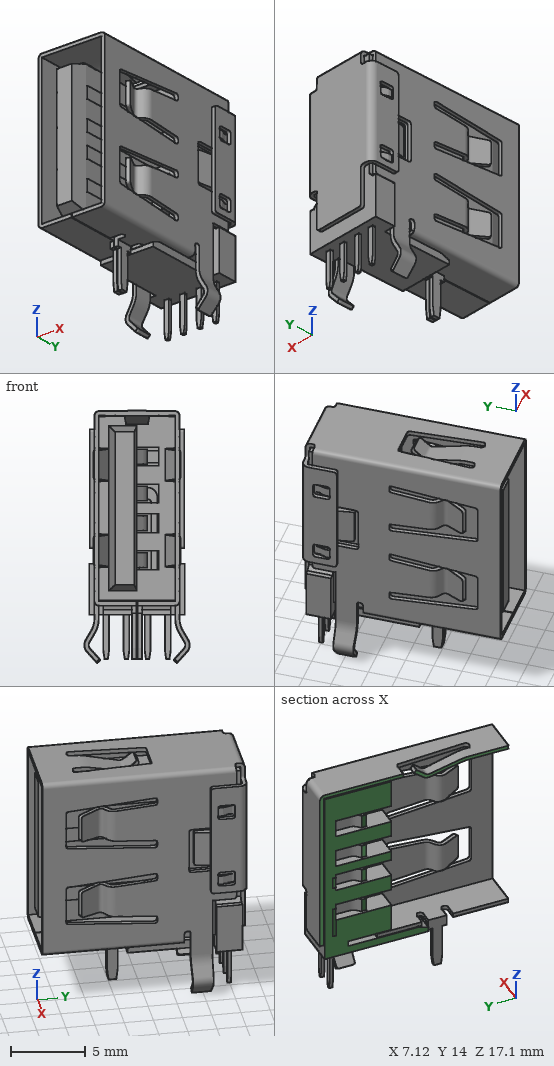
import cadquery as cq
import math


SHEET = 0.3
SHELL_W = 5.76
SHELL_H = 13.14
SHELL_R = 0.34
DEPTH = 14.0
WALL_REAR = 13.29
BOTTOM_REAR = 9.71
SEAM = 0.07
CORNER_R = 0.2
HALF_W = SHELL_W / 2
INNER_W = HALF_W - SHEET
INNER_TOP = SHELL_H - SHEET
MID_Z = SHELL_H / 2

NECK_W = 4.33
BACK_BEND_R = 0.41
BACK_BOTTOM = 0.58
FLAP_FRONT = 11.48
FLAP_BOTTOM = 3.87
FLAP_TOP = 11.91
FLAP_BEND_R = 0.55
FLAP_OUT = HALF_W + SHEET

LOCK_Y = (11.96, 13.15)
LOCK_H = 1.04
LOCK_Z = (4.92, 10.02)
BARB_REAR = 12.98
BARB_CREST = 12.32
BARB_FRONT = 12.0
BARB_RISE = 0.2
BARB_H = 0.63
BARB_Z = (4.79, 10.02)

WING_NOTCH_Y = 11.65
WING_NOTCH_TOP = 3.17
SNAP_Y = (10.04, 12.27)
SNAP_Z = (5.47, 8.75)

LEG_FRONT = 10.15
LEG_REAR = WING_NOTCH_Y
LEG_NARROWING = 0.09
LEG_ROOT = 1.02
LEG_BEND_Z = -0.89
LEG_RELIEF_TOP = 0.97
LEG_TIP_Z = -4.09
LEG_SPLAY = 30
LEG_SPLAY_R = 1.69
LEG_SLOPE = 0.77
LEG_RETURN = 42
LEG_RETURN_R = 0.51
LEG_TIP = 1.04
LEG_TIP_R = 0.27

PEG_FLANGE_Y = (4.57, 5.93)
PEG_FLANGE_H = 0.5
PEG_W = 0.72
PEG_TIP_W = 0.53
PEG_TAPER_Z = -2.86
PEG_BOTTOM = -3.6
PEG_RELIEF_W = 0.48
PEG_RELIEF_X = 1.09
PEG_RELIEF_R = 0.22

SPRING_LAP = 0.09
SIDE_ROOT_Y = 7.87
SIDE_Z = (3.71, 9.5)
SIDE_SLOT = (6.27, 1.9, 1.4)
SIDE_TONGUE = (5.4, 1.36, 0.95)
SIDE_BEND_START = 2.83
SIDE_RUNS = [(SPRING_LAP, -54.5, 0.58), (0.3, 83.5, 0.43), (1.45, 0, 0)]
TOP_ROOT_Y = 2.39
TOP_SLOT = (5.42, 1.48, 1.15)
TOP_TONGUE = (4.7, 0.89, 0.7)
TOP_BEND_START = 0.53
TOP_RUNS = [(SPRING_LAP, -12.5, 3.07), (2.3, 50.5, 0.48), (0.9, 0, 0)]

NEAR = 0.02

BASE_FRONT = 8.69
BASE_REAR = 13.63
BASE_GAP = 0.05
WING_FRONT = 11.88
WING_HALF_W = 3.22
WING_TOP = 2.85
FOOT_BOTTOM = -0.61
FOOT_FRONT = 5.93
FOOT_SLOPE_START = 6.65
FOOT_SLOPE_DROP = 0.25
FOOT_W = 4.55
BUMP_Y = (10.43, 12.1)
BUMP_Z = (5.85, 8.33)
BUMP_RISE = 0.29
BUMP_CORNER_R = 0.12
BUMP_RECESS = 0.25
TONGUE_X = (-1.89, 0.0)
TONGUE_H = 11.13
TONGUE_FRONT = 0.25
TONGUE_BEVEL = 0.41
TONGUE_BEVEL_DEPTH = 1.3
TONGUE_BEVEL_RIGHT = 0.19
WINDOW_W = 1.47
WINDOW_H = 1.26

CONTACT_T = 0.25
CONTACT_W = 1.0
CONTACT_OUT = 0.68
CONTACT_BEND_Y = 11.59
CONTACT_JOG_ANGLE = 45
CONTACT_BEND_R = 0.77
CONTACT_SETTLE_R = 0.2
CONTACT_TIP_Y = 1.7
PLATE_Y = 12.78
PLATE_HEAD_H = 0.8
PLATE_OUTER_R = 0.65
PLATE_INNER_R = 0.22
TAIL_W = 0.41
TAIL_TIP_W = 0.24
TAIL_TAPER_Z = -3.0
TAIL_BOTTOM = PEG_BOTTOM
PAIR_INNER = 1.0
PAIR_OUTER = 3.5
TAIL_INNER_X = 0.72
TAIL_OUTER_X = 2.08
DROP_RIGHT_X = 1.16
DROP_LEFT_X = -0.07
JOG_Z = 1.36


def block(x, y, z):
    """Box between the limits (low, high) on each axis."""
    size = (x[1] - x[0], y[1] - y[0], z[1] - z[0])
    return cq.Workplane("XY").box(*size, centered=False).translate((x[0], y[0], z[0]))


def mirrored(body):
    """The body together with its mirror image across the plane X = 0."""
    return body.union(body.mirror("YZ"))


def bent_strip(plane, start, heading, thickness, runs):
    """Outline of a bent sheet. Each run is (straight length, turn, middle bend radius)."""
    half = thickness / 2
    x, y = start
    angle = math.radians(heading)

    def sides(px, py, direction):
        nx, ny = -math.sin(direction), math.cos(direction)
        return (px + half * nx, py + half * ny), (px - half * nx, py - half * ny)

    stations = [(sides(x, y, angle), None)]
    for length, turn, radius in runs:
        x += length * math.cos(angle)
        y += length * math.sin(angle)
        stations.append((sides(x, y, angle), None))
        if turn:
            sweep = math.radians(turn)
            side = math.copysign(radius, turn)
            cx, cy = x - side * math.sin(angle), y + side * math.cos(angle)

            def on_bend(direction):
                return cx + side * math.sin(direction), cy - side * math.cos(direction)

            middle = sides(*on_bend(angle + sweep / 2), angle + sweep / 2)
            angle += sweep
            x, y = on_bend(angle)
            stations.append((sides(x, y, angle), middle))

    outline = cq.Workplane(plane).moveTo(*stations[0][0][0])
    for ends, middle in stations[1:]:
        outline = outline.threePointArc(middle[0], ends[0]) if middle else outline.lineTo(*ends[0])
    outline = outline.lineTo(*stations[-1][0][1])
    for (ends, _), (_, middle) in zip(stations[-2::-1], stations[:0:-1]):
        outline = outline.threePointArc(middle[1], ends[1]) if middle else outline.lineTo(*ends[1])
    return outline.close()



def shell_tube():
    """Four-sided sleeve with rounded outer edges and an open bottom seam."""
    tube = block((-HALF_W, HALF_W), (0, WALL_REAR), (0, SHELL_H)).edges("|Y").fillet(SHELL_R)
    tube = tube.cut(block((-INNER_W, INNER_W), (0, WALL_REAR), (SHEET, INNER_TOP)))
    tube = tube.cut(block((-SEAM / 2, SEAM / 2), (0, WALL_REAR), (0, SHEET)))
    return tube.cut(block((-HALF_W, HALF_W), (BOTTOM_REAR, WALL_REAR), (0, SHEET + BASE_GAP)))


def wall_openings():
    """Cutters for the wing notches, the leg reliefs and the snap windows of both walls."""
    across = (-HALF_W, HALF_W)
    notch = block(across, (WING_NOTCH_Y, DEPTH), (0, WING_NOTCH_TOP))
    relief = block(across, (BOTTOM_REAR, LEG_FRONT), (0, LEG_RELIEF_TOP))
    relief = relief.edges("|X and >Z").fillet(CORNER_R)
    snap = block(across, SNAP_Y, SNAP_Z).edges("|X").fillet(CORNER_R)
    return notch.union(relief).union(snap)


def back_plate():
    """Neck bent down from the top, with side flaps that wrap around the walls."""
    half_neck = NECK_W / 2
    neck = block((-half_neck, half_neck), (WALL_REAR - SHEET, DEPTH), (BACK_BOTTOM, SHELL_H))
    neck = neck.edges("|X and >Y and >Z").fillet(BACK_BEND_R)
    inside = block((-half_neck, half_neck), (0, DEPTH - SHEET), (BACK_BOTTOM, INNER_TOP))
    neck = neck.cut(inside.edges("|X and >Y and >Z").fillet(BACK_BEND_R - SHEET))
    neck = neck.edges("|Y and <Z").fillet(CORNER_R)

    flap_z = (FLAP_BOTTOM, FLAP_TOP)
    wrap = block((-FLAP_OUT, FLAP_OUT), (FLAP_FRONT, DEPTH), flap_z)
    wrap = wrap.edges("|Z and >Y").fillet(FLAP_BEND_R)
    wrap = wrap.edges("|X and <Y").fillet(CORNER_R)
    hollow = block((-HALF_W, HALF_W), (FLAP_FRONT, DEPTH - SHEET), flap_z)
    wrap = wrap.cut(hollow.edges("|Z and >Y").fillet(FLAP_BEND_R - SHEET))
    for z in LOCK_Z:
        window = block((-FLAP_OUT, FLAP_OUT), LOCK_Y, (z - LOCK_H / 2, z + LOCK_H / 2))
        wrap = wrap.cut(window.edges("|X").fillet(CORNER_R))
    plate = neck.union(wrap)
    shoulders = cq.selectors.BoxSelector((-HALF_W, DEPTH - SHEET, BACK_BOTTOM + SHEET),
                                         (HALF_W, DEPTH, SHELL_H - SHEET))
    return plate.edges("|Y").edges(shoulders).fillet(CORNER_R)


def barbs():
    """Ramps on the side walls that catch the lock windows of the flaps."""
    crest = HALF_W + BARB_RISE
    profile = [(INNER_W, BARB_REAR), (HALF_W, BARB_REAR), (crest, BARB_CREST),
               (crest, BARB_FRONT), (INNER_W, BARB_FRONT)]
    ramps = cq.Workplane("XY")
    for z in BARB_Z:
        ramp = cq.Workplane("XY", origin=(0, 0, z)).polyline(profile).close()
        ramps = ramps.add(ramp.extrude(BARB_H / 2, both=True))
    return mirrored(ramps.combine())


def leg():
    """Board lock on the +X wall: splayed outwards, then returned inwards to a rounded tip."""
    turn_back = LEG_SPLAY + LEG_RETURN
    runs = [(LEG_ROOT - LEG_BEND_Z, LEG_SPLAY, LEG_SPLAY_R),
            (LEG_SLOPE, -turn_back, LEG_RETURN_R),
            (LEG_TIP, 0, 0)]
    profile = bent_strip("XZ", (HALF_W - SHEET / 2, LEG_ROOT), -90, SHEET, runs)
    sheet = profile.extrude(LEG_FRONT - LEG_REAR).translate((0, LEG_FRONT, 0))
    tilt = math.radians(LEG_RETURN)
    tip_edges = cq.selectors.ParallelDirSelector(cq.Vector(math.cos(tilt), 0, -math.sin(tilt)))
    sheet = sheet.edges(tip_edges).fillet(LEG_TIP_R)
    elevation = [(LEG_FRONT, LEG_ROOT), (LEG_REAR, LEG_ROOT), (LEG_REAR, LEG_BEND_Z),
                 (LEG_REAR - LEG_NARROWING, LEG_TIP_Z), (LEG_FRONT + LEG_NARROWING, LEG_TIP_Z),
                 (LEG_FRONT, LEG_BEND_Z)]
    return sheet.intersect(cq.Workplane("YZ").polyline(elevation).close().extrude(DEPTH))


def peg():
    """Two-layer ground peg below the seam."""
    front, rear = PEG_FLANGE_Y
    mid = (front + rear) / 2
    half, tip = PEG_W / 2, PEG_TIP_W / 2
    outline = [(front, SHEET), (rear, SHEET), (rear, -PEG_FLANGE_H), (mid + half, -PEG_FLANGE_H),
               (mid + half, PEG_TAPER_Z), (mid + tip, PEG_BOTTOM), (mid - tip, PEG_BOTTOM),
               (mid - half, PEG_TAPER_Z), (mid - half, -PEG_FLANGE_H), (front, -PEG_FLANGE_H)]
    layer = cq.Workplane("YZ", origin=(SEAM / 2, 0, 0)).polyline(outline).close().extrude(SHEET)
    return mirrored(layer)


def peg_reliefs():
    """Round-ended slots in the bottom at both ends of the peg flange."""
    front, rear = PEG_FLANGE_Y
    slots = cq.Workplane("XY")
    for y in (front - PEG_RELIEF_W, rear):
        slot = block((0, PEG_RELIEF_X), (y, y + PEG_RELIEF_W), (0, SHEET))
        slots = slots.add(slot.edges("|Z and >X").fillet(PEG_RELIEF_R))
    return slots.combine()


def add_spring(shell, origin, along, outward, slot, tongue, bend_start, runs):
    """Cut a U-shaped slot and bend the tongue inside it towards the inside of the shell.

    slot and tongue are (length, half width at the root, half width at the far end).
    """
    flat = cq.Plane(origin, along, outward)
    across = cq.Vector(along).cross(cq.Vector(outward))
    edge_on = cq.Plane(origin, along, across)
    length, slot_root, slot_end = slot
    tip, tongue_root, tongue_tip = tongue

    slot_outline = [(0, tongue_root), (0, slot_root), (length, slot_end), (length, -slot_end),
                    (0, -slot_root), (0, -tongue_root), (tip, -tongue_tip), (tip, tongue_tip)]
    cutter = cq.Workplane(flat).polyline(slot_outline).close().extrude(-SHEET)
    through = cq.selectors.ParallelDirSelector(cq.Vector(outward))
    cutter = cutter.edges(through).fillet(CORNER_R)

    start = bend_start - SPRING_LAP
    start_half = tongue_root + (tongue_tip - tongue_root) * start / tip
    tongue_outline = [(start, start_half), (tip, tongue_tip), (tip, -tongue_tip), (start, -start_half)]
    blank = cq.Workplane(flat).polyline(tongue_outline).close().extrude(SHELL_W / 2, both=True)

    profile = bent_strip(edge_on, (start, -SHEET / 2), 0, SHEET, runs)
    spring = profile.extrude(slot_root, both=True).intersect(blank)
    tip_face = cq.selectors.DirectionMinMaxSelector(cq.Vector(along))
    one_end = cq.selectors.DirectionMinMaxSelector(across)
    other_end = cq.selectors.DirectionMinMaxSelector(across, False)
    spring = spring.faces(tip_face).edges(one_end + other_end).fillet(CORNER_R)
    opening = cq.Workplane(flat).polyline(tongue_outline).close().extrude(-SHEET)
    return shell.cut(cutter).cut(opening).union(spring)


def add_side_springs(shell):
    for side in (-1, 1):
        for z in SIDE_Z:
            shell = add_spring(shell, (side * HALF_W, SIDE_ROOT_Y, z), (0, -1, 0), (side, 0, 0),
                               SIDE_SLOT, SIDE_TONGUE, SIDE_BEND_START, SIDE_RUNS)
    return shell


def add_top_spring(shell):
    return add_spring(shell, (0, TOP_ROOT_Y, SHELL_H), (0, 1, 0), (0, 0, 1),
                      TOP_SLOT, TOP_TONGUE, TOP_BEND_START, TOP_RUNS)


def round_wall_ends(shell):
    """Round the rear corners of the walls above the wing notches."""
    corners = cq.selectors.BoxSelector((-SHELL_W, WALL_REAR - NEAR, WING_NOTCH_TOP - NEAR),
                                       (SHELL_W, WALL_REAR + NEAR, WING_NOTCH_TOP + NEAR))
    return shell.edges("|X").edges(corners).fillet(CORNER_R)


def round_neck_roots(shell):
    """Round the inside corners where the neck of the back plate leaves the top."""
    side = NECK_W / 2 + NEAR
    corners = cq.selectors.BoxSelector((-side, WALL_REAR - NEAR, INNER_TOP),
                                       (side, WALL_REAR + NEAR, SHELL_H))
    return shell.edges("|Z").edges(corners).fillet(CORNER_R)


def make_shell():
    shell = shell_tube().cut(wall_openings()).cut(peg_reliefs())
    shell = round_wall_ends(shell)
    shell = round_neck_roots(shell.union(back_plate()))
    shell = add_top_spring(add_side_springs(shell))
    return shell.union(barbs()).union(mirrored(leg())).union(peg())



def contact_beam(z):
    """Beam that leaves its plate, jogs towards the tongue and ends flush with the tongue surface."""
    angle = math.radians(CONTACT_JOG_ANGLE)
    bend_radii = CONTACT_BEND_R + CONTACT_SETTLE_R
    drop = CONTACT_OUT - TONGUE_X[1] - bend_radii * (1 - math.cos(angle))
    slope = drop / math.sin(angle)
    settle_y = CONTACT_BEND_Y - bend_radii * math.sin(angle) - slope * math.cos(angle)
    runs = [(PLATE_Y + CONTACT_T - CONTACT_BEND_Y, -CONTACT_JOG_ANGLE, CONTACT_BEND_R),
            (slope, CONTACT_JOG_ANGLE, CONTACT_SETTLE_R),
            (settle_y - CONTACT_TIP_Y, 0, 0)]
    start = (CONTACT_OUT - CONTACT_T / 2, PLATE_Y + CONTACT_T)
    profile = bent_strip(cq.Plane((0, 0, z)), start, -90, CONTACT_T, runs)
    return profile.extrude(CONTACT_W / 2, both=True)


def contact_tail(x, top):
    """Solder tail with a tapered tip."""
    half, tip = TAIL_W / 2, TAIL_TIP_W / 2
    outline = [(x - half, top), (x + half, top), (x + half, TAIL_TAPER_Z), (x + tip, TAIL_BOTTOM),
               (x - tip, TAIL_BOTTOM), (x - half, TAIL_TAPER_Z)]
    return cq.Workplane("XZ", origin=(0, PLATE_Y, 0)).polyline(outline).close().extrude(-CONTACT_T)


def make_contact(z, drop_x, tail_x):
    """One contact: beam, plate leading sideways to drop_x, drop and tail at tail_x."""
    half = TAIL_W / 2
    plate_y = (PLATE_Y, PLATE_Y + CONTACT_T)
    beam_x = (CONTACT_OUT - CONTACT_T, CONTACT_OUT)
    head_x = (min(beam_x[0], drop_x - half), max(beam_x[1], drop_x + half))
    jog_x = (min(drop_x, tail_x) - half, max(drop_x, tail_x) + half)
    head_bottom = z - PLATE_HEAD_H / 2
    head = block(head_x, plate_y, (head_bottom, head_bottom + PLATE_HEAD_H))
    head = head.edges("|Y and >Z").edges(">X" if drop_x > 0 else "<X").fillet(PLATE_OUTER_R)
    drop = block((drop_x - half, drop_x + half), plate_y, (JOG_Z - half, head_bottom))
    inner_x = drop_x - math.copysign(half, drop_x)
    inner_corner = cq.selectors.NearestToPointSelector((inner_x, PLATE_Y + CONTACT_T / 2, head_bottom))
    plate = head.union(drop).edges("|Y").edges(inner_corner).fillet(PLATE_INNER_R)
    jog = block(jog_x, plate_y, (JOG_Z - half, JOG_Z + half))
    return contact_beam(z).union(plate).union(jog).union(contact_tail(tail_x, JOG_Z))



def housing_base():
    return block((-INNER_W, INNER_W), (BASE_FRONT, BASE_REAR), (SHEET + BASE_GAP, INNER_TOP - BASE_GAP))


def housing_wings():
    """Rear block that reaches out through the notches of the shell walls."""
    half = [(0, FOOT_BOTTOM), (WING_HALF_W, FOOT_BOTTOM), (WING_HALF_W, WING_TOP),
            (HALF_W, WING_TOP), (INNER_W, WING_NOTCH_TOP), (0, WING_NOTCH_TOP)]
    wing = cq.Workplane("XZ", origin=(0, WING_FRONT, 0)).polyline(half).close()
    return mirrored(wing.extrude(WING_FRONT - BASE_REAR))


def housing_foot():
    """Plate below the shell bottom, sloped at its front end."""
    side = [(WING_FRONT, 0), (FOOT_SLOPE_START, 0), (FOOT_FRONT, -FOOT_SLOPE_DROP),
            (FOOT_FRONT, FOOT_BOTTOM), (WING_FRONT, FOOT_BOTTOM)]
    return cq.Workplane("YZ").polyline(side).close().extrude(FOOT_W / 2, both=True)


def snap_pockets():
    """Cutters that continue the snap windows of the shell into both sides of the base."""
    pocket = block((INNER_W - BUMP_RECESS, INNER_W), SNAP_Y, SNAP_Z)
    return mirrored(pocket.edges("|X").fillet(CORNER_R))


def snap_bumps():
    """Snaps in the pockets whose outer faces rise towards the rear into the snap windows."""
    front, rear = BUMP_Y
    floor = INNER_W - BUMP_RECESS
    side = [(floor, front), (INNER_W, front), (INNER_W + BUMP_RISE, rear), (floor, rear)]
    bump = cq.Workplane("XY", origin=(0, 0, BUMP_Z[0])).polyline(side).close()
    bump = bump.extrude(BUMP_Z[1] - BUMP_Z[0])
    return mirrored(bump.edges("|X and <Y").fillet(BUMP_CORNER_R))


def tongue():
    """Tongue that carries the contacts, bevelled around its front face."""
    half_h = TONGUE_H / 2
    left, right = TONGUE_X
    shank_y = TONGUE_FRONT + TONGUE_BEVEL_DEPTH
    shank = block(TONGUE_X, (shank_y, BASE_FRONT), (MID_Z - half_h, MID_Z + half_h))
    nose = (
        cq.Workplane("XZ", origin=((left + right) / 2, shank_y, MID_Z))
        .rect(right - left, TONGUE_H)
        .workplane(offset=TONGUE_BEVEL_DEPTH)
        .center((TONGUE_BEVEL - TONGUE_BEVEL_RIGHT) / 2, 0)
        .rect(right - left - TONGUE_BEVEL - TONGUE_BEVEL_RIGHT, TONGUE_H - 2 * TONGUE_BEVEL)
        .loft(ruled=True)
    )
    return shank.union(nose)


def contact_window(z):
    """Window in the base in front of a contact plate."""
    return block((0, WINDOW_W), (BASE_FRONT, PLATE_Y), (z - WINDOW_H / 2, z + WINDOW_H / 2))


def make_housing(contact_heights, contacts):
    body = housing_base().cut(snap_pockets()).union(snap_bumps()).union(tongue())
    body = body.union(housing_wings()).union(housing_foot())
    for z in contact_heights:
        body = body.cut(contact_window(z))
    for contact in contacts:
        body = body.cut(contact)
    return body



CONTACT_ROUTES = [
    (MID_Z + PAIR_OUTER, TAIL_OUTER_X, TAIL_OUTER_X),
    (MID_Z + PAIR_INNER, DROP_RIGHT_X, TAIL_INNER_X),
    (MID_Z - PAIR_INNER, -TAIL_OUTER_X, -TAIL_OUTER_X),
    (MID_Z - PAIR_OUTER, DROP_LEFT_X, -TAIL_INNER_X),
]

shell = make_shell()
contacts = [make_contact(*route) for route in CONTACT_ROUTES]
housing = make_housing([route[0] for route in CONTACT_ROUTES], contacts)

result = cq.Compound.makeCompound([shell.val(), housing.val(), *[contact.val() for contact in contacts]])